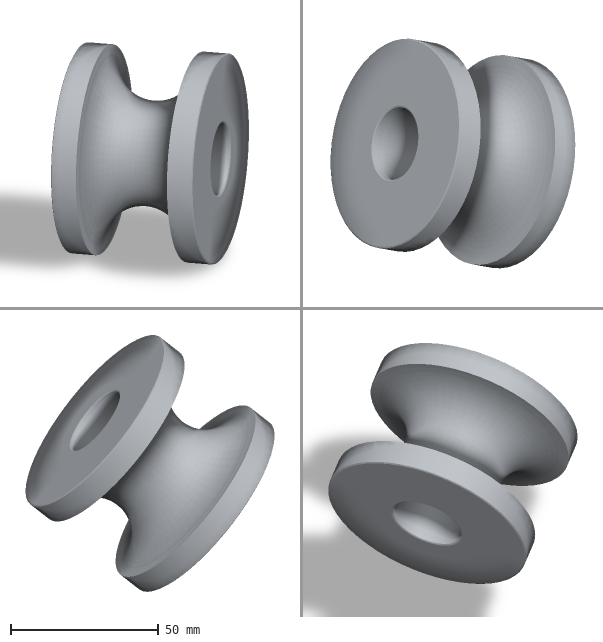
import cadquery as cq

outer_diameter = 72.0
width = 50.0
bore_diameter = 25.0

chamfer_axial = 0.3
chamfer_radial = 0.5

groove_radius = 16.05
root_diameter = 36.0

outer_radius = outer_diameter / 2
bore_radius = bore_diameter / 2
root_radius = root_diameter / 2
groove_center_radius = root_radius + groove_radius
end_face = width / 2
chamfer_start = end_face - chamfer_axial

half_section = (
    cq.Workplane("XY")
    .moveTo(-chamfer_start, bore_radius)
    .lineTo(-end_face, bore_radius + chamfer_radial)
    .lineTo(-end_face, outer_radius - chamfer_radial)
    .lineTo(-chamfer_start, outer_radius)
    .lineTo(-groove_radius, outer_radius)
    .lineTo(-groove_radius, groove_center_radius)
    .threePointArc((0, root_radius), (groove_radius, groove_center_radius))
    .lineTo(groove_radius, outer_radius)
    .lineTo(chamfer_start, outer_radius)
    .lineTo(end_face, outer_radius - chamfer_radial)
    .lineTo(end_face, bore_radius + chamfer_radial)
    .lineTo(chamfer_start, bore_radius)
    .close()
)

result = half_section.revolve(360, (0, 0, 0), (1, 0, 0))